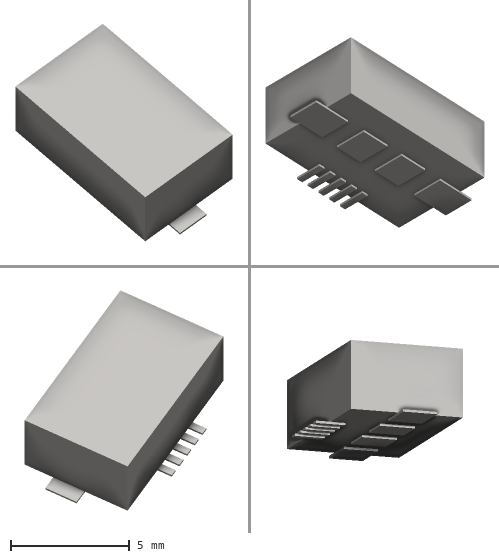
import cadquery as cq

overall_length = 9.42
overall_depth = 5.66
overall_height = 3.08
contact_thickness = 0.1
tab_overhang = 0.66
pin_overhang = 0.66

housing_length = overall_length - 2 * tab_overhang
housing_depth = overall_depth - pin_overhang
housing_height = overall_height - contact_thickness
housing_front = -housing_depth / 2
housing_back = housing_depth / 2

pin_count = 5
pin_pitch = 0.65
pin_width = 0.32
pin_length = 1.32

tab_depth = 1.52
tab_setback = 1.385
plate_center_y = housing_front + tab_setback + tab_depth / 2
pad_depth = 1.56
tab_length = 1.91
pad_length = 1.42
pad_gap = 0.87


def make_housing():
    """Plain rectangular block resting on the contacts."""
    return (
        cq.Workplane("XY")
        .workplane(offset=contact_thickness)
        .rect(housing_length, housing_depth)
        .extrude(housing_height)
    )


def make_contact(length, depth, center_x, center_y):
    """Thin flat plate with its bottom on Z = 0."""
    return (
        cq.Workplane("XY")
        .center(center_x, center_y)
        .rect(length, depth)
        .extrude(contact_thickness)
    )


def make_pin(index):
    """Signal pin projecting from under the back edge of the housing."""
    center_x = (index - (pin_count - 1) / 2) * pin_pitch
    center_y = housing_back + pin_overhang - pin_length / 2
    return make_contact(pin_width, pin_length, center_x, center_y)


def make_side_tab(side):
    """Solder tab projecting from one end of the housing; side is -1 or 1."""
    center_x = side * (overall_length - tab_length) / 2
    return make_contact(tab_length, tab_depth, center_x, plate_center_y)


def make_pad(side):
    """Solder pad hidden under the housing; side is -1 or 1."""
    center_x = side * (pad_gap + pad_length) / 2
    return make_contact(pad_length, pad_depth, center_x, plate_center_y)


housing = make_housing()
pins = [make_pin(index) for index in range(pin_count)]
side_tabs = [make_side_tab(side) for side in (-1, 1)]
pads = [make_pad(side) for side in (-1, 1)]

bodies = [housing, *pins, *side_tabs, *pads]
result = cq.Compound.makeCompound([body.val() for body in bodies])